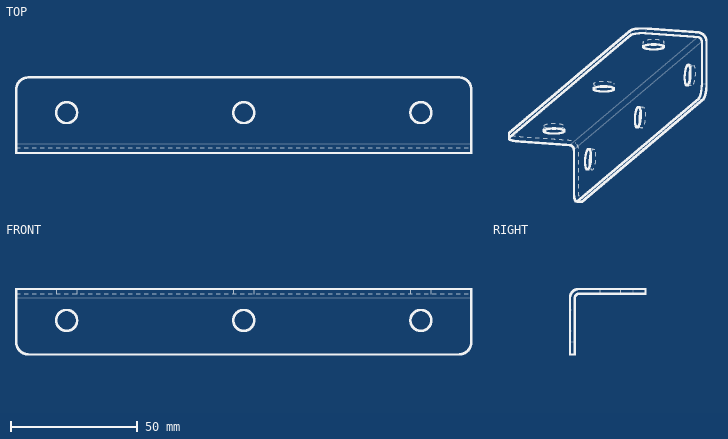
import cadquery as cq

length = 180.0
top_leg = 30.0
front_leg = 26.0
thickness = 2.0
inner_bend_radius = 1.7
corner_radius = 5.0
hole_diameter = 8.2
hole_pitch = 70.0
top_hole_setback = 16.0
front_hole_drop = 12.5

outer_bend_radius = inner_bend_radius + thickness
hole_positions = [-hole_pitch, 0.0, hole_pitch]


def bent_sheet():
    """L-shaped sheet along X: outer front face at Y = 0, outer top face at Z = 0."""
    outer = cq.Workplane("XY").box(length, top_leg, front_leg, centered=(True, False, False))
    outer = outer.translate((0, 0, -front_leg))
    outer = outer.edges("|X and <Y and >Z").fillet(outer_bend_radius)
    inner = cq.Workplane("XY").box(length, top_leg, front_leg, centered=(True, False, False))
    inner = inner.translate((0, thickness, -front_leg - thickness))
    inner = inner.edges("|X and <Y and >Z").fillet(inner_bend_radius)
    return outer.cut(inner)


def round_free_corners(sheet):
    """Round the two free corners of each leg."""
    sheet = sheet.edges("|Z and >Y").fillet(corner_radius)
    return sheet.edges("|Y and <Z").fillet(corner_radius)


def top_leg_holes():
    """Vertical cutters through the top leg."""
    points = [(x, top_hole_setback) for x in hole_positions]
    return cq.Workplane("XY").pushPoints(points).circle(hole_diameter / 2).extrude(-thickness)


def front_leg_holes():
    """Horizontal cutters through the front leg."""
    points = [(x, -front_hole_drop) for x in hole_positions]
    return cq.Workplane("XZ").pushPoints(points).circle(hole_diameter / 2).extrude(-thickness)


bracket = round_free_corners(bent_sheet())
result = bracket.cut(top_leg_holes()).cut(front_leg_holes())